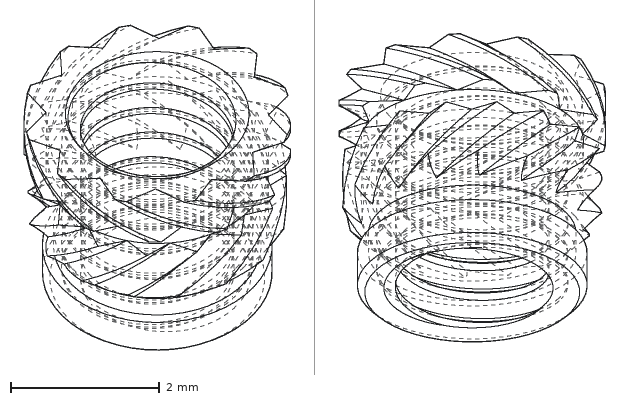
import cadquery as cq
import math

FLANGE_TOP = 0.6
LOWER_KNURL_BOTTOM = 0.9
LOWER_KNURL_TOP = 2.0
UPPER_KNURL_BOTTOM = 2.3
HEIGHT = 3.0

FLANGE_RADIUS = 3.1 / 2
LOWER_NECK_RADIUS = 2.8 / 2
UPPER_NECK_RADIUS = 3.0 / 2
FLANGE_CHAMFER = 0.1

KNURL_ROOT_RADIUS = UPPER_NECK_RADIUS
UPPER_KNURL_RADIUS = 1.8
UPPER_GROOVES = 12
UPPER_LAND_ANGLE = 5.0
UPPER_TWIST = -45.0
LOWER_KNURL_RADIUS = 1.75
LOWER_GROOVES = 16
LOWER_TWIST = 45.0

BORE_RADIUS = 2.075 / 2
THREAD_ROOT_RADIUS = 2.58 / 2
THREAD_PITCH = 0.45
THREAD_CREST = THREAD_PITCH / 4
THREAD_HALF_ANGLE = 30.0
THREAD_START = -0.56
MOUTH_RADIUS = 1.24


def polar(radius, angle):
    a = math.radians(angle)
    return (radius * math.cos(a), radius * math.sin(a))


def knurl_outline(z, radius, grooves, land_angle, first_root):
    """Closed outline at height z; land_angle is the round stretch between V grooves (0 = sharp ridges)."""
    step = 360.0 / grooves
    outline = cq.Workplane("XY", origin=(0, 0, z)).moveTo(*polar(KNURL_ROOT_RADIUS, first_root))
    for i in range(grooves):
        ridge = first_root + (i + 0.5) * step
        outline = outline.lineTo(*polar(radius, ridge - land_angle / 2))
        if land_angle > 0:
            outline = outline.threePointArc(polar(radius, ridge), polar(radius, ridge + land_angle / 2))
        if i < grooves - 1:
            outline = outline.lineTo(*polar(KNURL_ROOT_RADIUS, ridge + step / 2))
    return outline.close()


def upper_knurl():
    height = HEIGHT - UPPER_KNURL_BOTTOM
    outline = knurl_outline(
        UPPER_KNURL_BOTTOM, UPPER_KNURL_RADIUS, UPPER_GROOVES, UPPER_LAND_ANGLE, -UPPER_TWIST
    )
    return outline.twistExtrude(height, UPPER_TWIST)


def lower_knurl():
    height = LOWER_KNURL_TOP - LOWER_KNURL_BOTTOM
    outline = knurl_outline(LOWER_KNURL_BOTTOM, LOWER_KNURL_RADIUS, LOWER_GROOVES, 0, -LOWER_TWIST)
    knurl = outline.twistExtrude(height, LOWER_TWIST)
    lead_in = (
        cq.Workplane("XZ")
        .moveTo(0, LOWER_KNURL_BOTTOM)
        .lineTo(LOWER_NECK_RADIUS, LOWER_KNURL_BOTTOM)
        .lineTo(LOWER_NECK_RADIUS + height, LOWER_KNURL_TOP)
        .lineTo(0, LOWER_KNURL_TOP)
        .close()
        .revolve(360, (0, 0, 0), (0, 1, 0))
    )
    return knurl.intersect(lead_in)


def cylinder(radius, bottom, top):
    return cq.Workplane("XY", origin=(0, 0, bottom)).circle(radius).extrude(top - bottom)


def thread_groove():
    depth = THREAD_ROOT_RADIUS - BORE_RADIUS
    slope = math.tan(math.radians(THREAD_HALF_ANGLE))
    overlap = 0.035
    mouth_half = (THREAD_PITCH - THREAD_CREST) / 2
    root_half = mouth_half - depth * slope
    inner_half = mouth_half + overlap * slope
    length = HEIGHT + THREAD_PITCH - THREAD_START
    helix = cq.Wire.makeHelix(THREAD_PITCH, length, BORE_RADIUS, center=cq.Vector(0, 0, THREAD_START))
    profile = (
        cq.Workplane("XZ")
        .moveTo(BORE_RADIUS - overlap, THREAD_START - inner_half)
        .lineTo(THREAD_ROOT_RADIUS, THREAD_START - root_half)
        .lineTo(THREAD_ROOT_RADIUS, THREAD_START + root_half)
        .lineTo(BORE_RADIUS - overlap, THREAD_START + inner_half)
        .close()
    )
    return profile.sweep(cq.Workplane(obj=helix), isFrenet=True)


def mouth():
    depth = MOUTH_RADIUS - BORE_RADIUS
    cone = cq.Solid.makeCone(BORE_RADIUS, MOUTH_RADIUS, depth, cq.Vector(0, 0, HEIGHT - depth))
    return cq.Workplane(obj=cone)


flange = cylinder(FLANGE_RADIUS, 0, FLANGE_TOP).faces("<Z").chamfer(FLANGE_CHAMFER)
body = (
    flange.union(cylinder(LOWER_NECK_RADIUS, FLANGE_TOP, LOWER_KNURL_BOTTOM))
    .union(lower_knurl())
    .union(cylinder(UPPER_NECK_RADIUS, LOWER_KNURL_TOP, UPPER_KNURL_BOTTOM))
    .union(upper_knurl())
)
threaded_bore = cylinder(BORE_RADIUS, THREAD_START, HEIGHT + THREAD_PITCH).union(thread_groove())
result = body.cut(threaded_bore).cut(mouth())